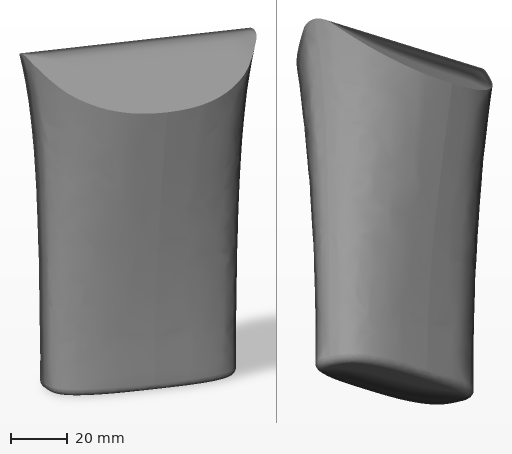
import cadquery as cq
import math

HEIGHT = 124.0
LOFT_TOP = HEIGHT + 2.0

SECTIONS = [
    (0.0, 15.0, 35.7),
    (30.0, 15.8, 36.0),
    (60.0, 19.1, 36.6),
    (90.0, 23.9, 38.2),
    (LOFT_TOP, 29.85, 44.5),
]
BASE_ROUNDNESS = 3.0
TOP_ROUNDNESS = 2.0
SPANS_PER_QUARTER = 6

ROOF_ANGLE = 40.0
RIDGE_RADIUS = 10.0

BASE_FILLET = 2.5
CUTTER_MARGIN = 10.0


def quarter_section(z, half_x, half_y):
    """Closed wire at height z: a superellipse quarter between +X and +Y, and two lines to the axis."""
    roundness = BASE_ROUNDNESS + (TOP_ROUNDNESS - BASE_ROUNDNESS) * z / LOFT_TOP
    x_end = cq.Vector(half_x, 0, z)
    y_end = cq.Vector(0, half_y, z)
    center = cq.Vector(0, 0, z)
    points = [x_end]
    for i in range(1, SPANS_PER_QUARTER):
        angle = i / SPANS_PER_QUARTER * math.pi / 2
        x = half_x * math.cos(angle) ** (2 / roundness)
        y = half_y * math.sin(angle) ** (2 / roundness)
        points.append(cq.Vector(x, y, z))
    points.append(y_end)
    curve = cq.Edge.makeSpline(points, tangents=[cq.Vector(0, 1, 0), cq.Vector(-1, 0, 0)])
    to_center = cq.Edge.makeLine(y_end, center)
    from_center = cq.Edge.makeLine(center, x_end)
    return cq.Wire.assembleEdges([curve, to_center, from_center])


def make_quarter_body():
    """Quarter of the body lofted through all sections, with its curved bottom edge rounded."""
    loft = cq.Solid.makeLoft([quarter_section(*section) for section in SECTIONS])
    bottom_edges = cq.Workplane(loft).faces("<Z").edges(">(1,1,0)")
    return bottom_edges.fillet(BASE_FILLET)


def make_roof_envelope():
    """Prism along Y whose upper side is the gable with its rounded ridge."""
    slope = math.radians(ROOF_ANGLE)
    _, top_half_x, top_half_y = SECTIONS[-1]
    outer_x = top_half_x + CUTTER_MARGIN
    outer_y = top_half_y + CUTTER_MARGIN
    tangent_x = RIDGE_RADIUS * math.sin(slope)
    tangent_z = HEIGHT - RIDGE_RADIUS * (1 - math.cos(slope))
    eave_z = tangent_z - (outer_x - tangent_x) * math.tan(slope)
    return (
        cq.Workplane("XZ")
        .moveTo(-outer_x, -CUTTER_MARGIN)
        .lineTo(-outer_x, eave_z)
        .lineTo(-tangent_x, tangent_z)
        .threePointArc((0, HEIGHT), (tangent_x, tangent_z))
        .lineTo(outer_x, eave_z)
        .lineTo(outer_x, -CUTTER_MARGIN)
        .close()
        .extrude(outer_y, both=True)
    )


def mirror_to_full(quarter):
    """Reflect the quarter across both symmetry planes, keeping the seams on the X and Y axes."""
    half = quarter.union(quarter.mirror("YZ"), clean=False)
    return half.union(half.mirror("XZ"), clean=False)


result = mirror_to_full(make_quarter_body()).intersect(make_roof_envelope(), clean=False)